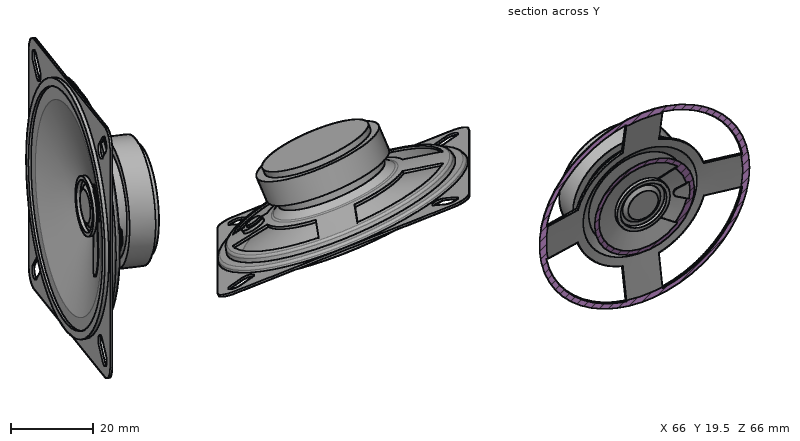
import cadquery as cq
import math


side = 66.0
corner_radius = 4.35
flange_front = 1.0
sheet = 0.6
flange_back = flange_front + sheet
slot_length = 8.05
slot_width = 3.8
slot_offset = 26.8

basket_bore = 29.5
lower_wall_foot_radius = 32.9
lower_wall_bend_radius = 32.7
lower_bend_y = 2.2
lower_step_radius = 32.0
lower_step_y = 2.85
upper_wall_foot_radius = 30.15
upper_wall_foot_y = 3.0
upper_wall_bend_radius = 29.9
upper_bend_y = 4.0
slope_outer_radius = 29.3
slope_outer_y = 4.7
slope_inner_radius = 16.6
slope_inner_y = 7.1
neck_foot_radius = 16.05
neck_foot_y = 7.4
neck_radius = 14.0
neck_y = 8.9
frame_hole_radius = 7.9

window_inner_radius = 18.5
window_outer_radius = 28.05
rib_width = 10.15

gasket_outer_radius = 32.1
gasket_inner_radius = 30.0

rim_front = 0.65
cone_outer_radius = 26.7
cone_inner_radius = 7.45
cone_inner_y = 5.8
paper = 0.4
coil_ring_inner_radius = 6.5
coil_ring_front = 4.8
cap_base_radius = 5.35
cap_top_radius = 4.2
cap_front = 5.0

patch_height = 0.2
lobe_x = 15.2
lobe_z = 8.05
lobe_radius = 3.8
lobe_outer_angle = math.radians(32.0)
lobe_inner_angle = math.radians(24.4)
notch_radius = 1.45

magnet_radius = 16.2
magnet_front = 11.3
magnet_back = 17.9
back = 19.5

terminal_radius = 3.0
terminal_thickness = 0.85
terminal_x = 21.5
eyelet_radius = 2.0
eyelet_height = 0.5
eyelet_shift = -0.5


def front_plane(y):
    """Plane facing +Y whose local axes are -X and Z."""
    return cq.Workplane(cq.Plane(origin=(0, y, 0), xDir=(-1, 0, 0), normal=(0, 1, 0)))


def turned(profile):
    """Revolve a closed (radius, y) profile about the Y axis."""
    return profile.close().revolve(360, (0, 0, 0), (0, 1, 0))


def tube(outer_radius, inner_radius, y_start, y_end):
    return front_plane(y_start).circle(outer_radius).circle(inner_radius).extrude(y_end - y_start)


def slope_y(radius):
    """Height of the basket's sloping back face at a radius."""
    share = (radius - slope_inner_radius) / (slope_outer_radius - slope_inner_radius)
    return slope_inner_y + share * (slope_outer_y - slope_inner_y)


def make_flange():
    plate = front_plane(flange_front).rect(side, side).extrude(sheet)
    plate = plate.edges("|Y").fillet(corner_radius)
    for angle in (45, 135, 225, 315):
        slot = (
            front_plane(flange_front)
            .center(slot_offset * math.sqrt(2), 0)
            .slot2D(slot_length, slot_width)
            .extrude(sheet)
            .rotate((0, 0, 0), (0, 1, 0), angle)
        )
        plate = plate.cut(slot)
    return plate.cut(front_plane(flange_front).circle(basket_bore).extrude(sheet))


def make_basket():
    profile = (
        cq.Workplane("XY")
        .moveTo(basket_bore, flange_front)
        .lineTo(lower_wall_foot_radius, flange_front)
        .lineTo(lower_wall_foot_radius, flange_back)
        .lineTo(lower_wall_bend_radius, lower_bend_y)
        .tangentArcPoint((lower_step_radius, lower_step_y), relative=False)
        .lineTo(upper_wall_foot_radius, upper_wall_foot_y)
        .lineTo(upper_wall_bend_radius, upper_bend_y)
        .tangentArcPoint((slope_outer_radius, slope_outer_y), relative=False)
        .lineTo(slope_inner_radius, slope_inner_y)
        .tangentArcPoint((neck_foot_radius, neck_foot_y), relative=False)
        .lineTo(neck_radius, neck_y)
        .lineTo(frame_hole_radius, neck_y)
        .lineTo(frame_hole_radius, neck_y - sheet)
        .lineTo(neck_radius - sheet, neck_y - sheet)
        .lineTo(slope_inner_radius - sheet, slope_inner_y - sheet)
        .lineTo(basket_bore, slope_y(basket_bore) - sheet)
    )
    return turned(profile)


def make_windows():
    ring = tube(window_outer_radius, window_inner_radius, lower_step_y, neck_y)
    for length, width in ((side, rib_width), (rib_width, side)):
        ring = ring.cut(front_plane(lower_step_y).rect(length, width).extrude(neck_y - lower_step_y))
    return ring


def make_frame():
    return make_flange().union(make_basket()).cut(make_windows())


def make_gasket():
    return tube(gasket_outer_radius, gasket_inner_radius, 0, flange_front)


def make_patch():
    """Layer on the cone's front face with the outline of two lobes joined around the coil ring."""

    def on_lobe(angle):
        return (lobe_x + lobe_radius * math.cos(angle), lobe_z + lobe_radius * math.sin(angle))

    outer_x, outer_z = on_lobe(lobe_outer_angle + math.pi / 2)
    mid_x, mid_z = on_lobe(math.pi / 4)
    inner_x, inner_z = on_lobe(lobe_inner_angle - math.pi / 2)
    root_x = outer_x - outer_z / math.tan(lobe_outer_angle)
    vertex_x = inner_x - inner_z / math.tan(lobe_inner_angle)
    notch_centre_x = vertex_x + notch_radius / math.sin(lobe_inner_angle)
    notch_x = notch_centre_x - notch_radius * math.sin(lobe_inner_angle)
    notch_z = notch_radius * math.cos(lobe_inner_angle)
    outline = (
        cq.Workplane("XZ")
        .moveTo(root_x, 0)
        .lineTo(outer_x, outer_z)
        .threePointArc((mid_x, mid_z), (inner_x, inner_z))
        .lineTo(notch_x, notch_z)
        .threePointArc((notch_centre_x - notch_radius, 0), (notch_x, -notch_z))
        .lineTo(inner_x, -inner_z)
        .threePointArc((mid_x, -mid_z), (outer_x, -outer_z))
        .close()
        .extrude(-neck_y)
    )
    layer = turned(
        cq.Workplane("XY")
        .moveTo(cone_outer_radius, rim_front)
        .lineTo(cone_inner_radius, cone_inner_y)
        .lineTo(cone_inner_radius, cone_inner_y - patch_height)
        .lineTo(cone_outer_radius, rim_front - patch_height)
    )
    return outline.intersect(layer)


def make_diaphragm():
    profile = (
        cq.Workplane("XY")
        .moveTo(0, cap_front)
        .lineTo(cap_top_radius, cap_front)
        .lineTo(cap_base_radius, cone_inner_y)
        .lineTo(coil_ring_inner_radius, cone_inner_y)
        .lineTo(coil_ring_inner_radius, coil_ring_front)
        .lineTo(cone_inner_radius, coil_ring_front)
        .lineTo(cone_inner_radius, cone_inner_y)
        .lineTo(cone_outer_radius, rim_front)
        .lineTo(gasket_inner_radius, rim_front)
        .lineTo(gasket_inner_radius, flange_front)
        .lineTo(cone_outer_radius, flange_front)
        .lineTo(cone_inner_radius, cone_inner_y + paper)
        .lineTo(0, cone_inner_y + paper)
    )
    return turned(profile).union(make_patch())


def make_magnet():
    core = front_plane(neck_y).circle(neck_radius).extrude(back - neck_y)
    ring = front_plane(magnet_front).circle(magnet_radius).extrude(magnet_back - magnet_front)
    return core.union(ring)


def make_terminal():
    """Round tag and eyelet lying on the slope of the +X rib."""
    rise = slope_inner_y - slope_outer_y
    run = slope_outer_radius - slope_inner_radius
    seat = cq.Plane(
        origin=(terminal_x, slope_y(terminal_x), 0), xDir=(run, -rise, 0), normal=(rise, run, 0)
    )
    tag = cq.Workplane(seat).circle(terminal_radius).extrude(terminal_thickness)
    eyelet = (
        cq.Workplane(seat)
        .center(eyelet_shift, 0)
        .circle(eyelet_radius)
        .extrude(terminal_thickness + eyelet_height)
    )
    return tag.union(eyelet)


frame = make_frame()
gasket = make_gasket()
diaphragm = make_diaphragm()
magnet = make_magnet()
terminal = make_terminal()

result = cq.Compound.makeCompound(
    [frame.val(), gasket.val(), diaphragm.val(), magnet.val(), terminal.val()]
)